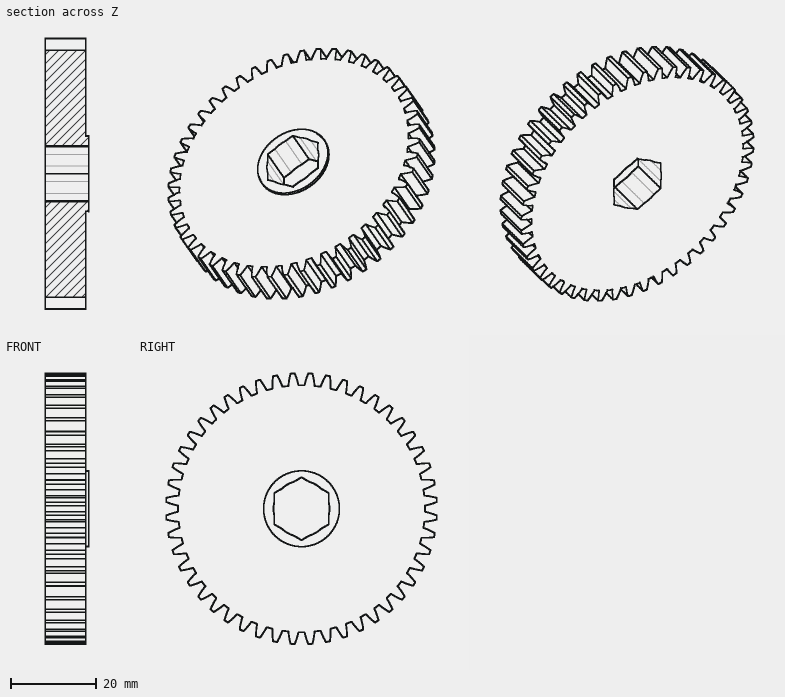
import cadquery as cq
import math

tooth_count = 48
tip_diameter = 63.5
root_diameter = 57.85
tip_thickness = 1.0
pitch_thickness = 1.8
root_thickness = 2.4

gear_width = 9.5
hub_diameter = 17.75
hub_height = 0.7

hex_flats = 12.7
relief_diameter = 13.05

module = tip_diameter / (tooth_count + 2)
tip_radius = tip_diameter / 2
pitch_radius = module * tooth_count / 2
root_radius = root_diameter / 2
tooth_angle = 2 * math.pi / tooth_count
total_width = gear_width + hub_height


def polar(radius, angle):
    return (radius * math.cos(angle), radius * math.sin(angle))


def gear_blank():
    """Toothed disc with a tooth gap centred on each of the Y and Z directions; each flank is a convex arc."""
    tip_half = tip_thickness / 2 / tip_radius
    pitch_half = pitch_thickness / 2 / pitch_radius
    root_half = root_thickness / 2 / root_radius

    first_tooth = tooth_angle / 2
    outline = cq.Workplane("YZ").moveTo(*polar(root_radius, first_tooth - root_half))
    for index in range(tooth_count):
        tooth = first_tooth + index * tooth_angle
        next_gap = tooth + tooth_angle / 2
        next_tooth = tooth + tooth_angle
        outline = (
            outline
            .threePointArc(polar(pitch_radius, tooth - pitch_half), polar(tip_radius, tooth - tip_half))
            .threePointArc(polar(tip_radius, tooth), polar(tip_radius, tooth + tip_half))
            .threePointArc(polar(pitch_radius, tooth + pitch_half), polar(root_radius, tooth + root_half))
            .threePointArc(polar(root_radius, next_gap), polar(root_radius, next_tooth - root_half))
        )
    return outline.close().extrude(gear_width)


def hub():
    """Low round boss on the +X face."""
    return cq.Workplane("YZ").workplane(offset=gear_width).circle(hub_diameter / 2).extrude(hub_height)


def bore():
    """Hexagon and relief hole running through the gear and hub."""
    hex_corners = hex_flats / math.cos(math.pi / 6)
    hexagon = cq.Workplane("YZ").transformed(rotate=(0, 0, 90)).polygon(6, hex_corners).extrude(total_width)
    relief = cq.Workplane("YZ").circle(relief_diameter / 2).extrude(total_width)
    return hexagon.union(relief)


result = gear_blank().union(hub()).cut(bore())